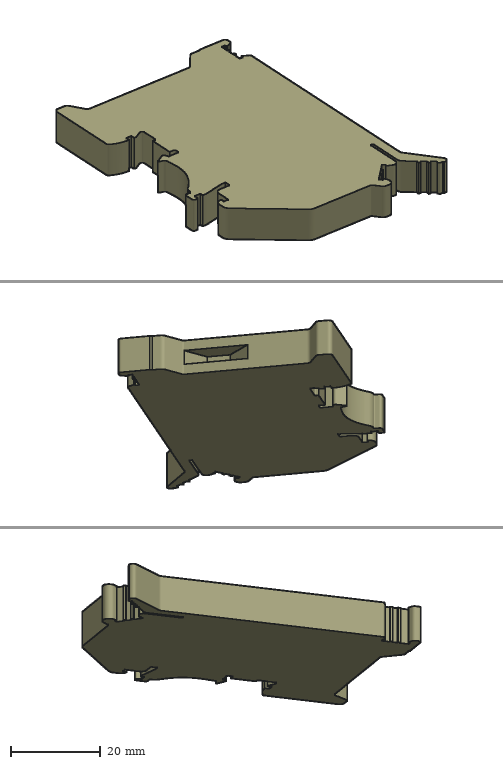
import cadquery as cq
import math


LENGTH = 72.2
HEIGHT = 55.5
THICKNESS = 8.15

TOP_Y = 49.27
LEFT_WALL_X = 4.6
RIGHT_WALL_X = 69.8
SHOULDER_Y = 35.3
LEFT_SLOPE_END_Y = 38.9
LEFT_STEP = 0.22
LEFT_STEP_Y = 41.6
LEFT_TOP_R = 0.85
LEFT_SLOPE_R = 1.3
LEFT_SHOULDER_R = 0.5
RIGHT_SLOPE_END_Y = 37.2
RIGHT_CHAMFER_TOP_Y = 18.4
RIGHT_CHAMFER_R = 2.2
RIGHT_SHOULDER_R = 0.3
RIGHT_SLOPE_R = 1.35

FOOT_LEFT_X = 0.25
FOOT_LEFT_TOP_Y = 3.45
FOOT_WALL_Y = 6.1
FOOT_TOE_X = 19.3
FOOT_RIGHT_X = 20.75
FOOT_FLANK_Y = 2.75
FOOT_CORNER_R = 1.0
FOOT_FLANK_R = 9
FOOT_TOE_R = 0.7
FOOT_SHOULDER_R = 0.9
FOOT_WALL_R = 1.1

RAIL_NOTCH_DEPTH = 1.05
RAIL_NOTCH_BOTTOM_Y = 5.05
RAIL_NOTCH_TOP_Y = 6.5
RAIL_LIP_TOP_Y = 7.1
RAIL_LIP_R = 0.3
RAIL_POCKET_SIDE_Y = 8.9
RAIL_POCKET_R = 0.45
RAIL_POCKET_SIDE_R = 0.5
RAIL_SEAT_R = 0.3
RAIL_POCKET_Y = 9.82
RAIL_SEAT_Y = 8.92
RAIL_SEAT_LEFT_X = 24.35
RAIL_SEAT_RIGHT_X = 30.45
RELIEF_TOP_Y = 10.45
RELIEF_RIGHT_X = 31.85
RELIEF_R = 0.35

BARB_TOP_Y = 7.55
BARB_POINT = (30.5, 6.95)
BARB_TIP = (32.2, 3.9)
BARB_POINT_R = 0.5
BARB_TIP_R = 0.25
ARCH_START = (32.7, 5.95)
ARCH_CREST = (40.8, 6.8)
ARCH_R = 10.5
ARCH_START_R = 0.8
ARCH_END_R = 2
ARCH_END_X = 45.8
SPRING_FOOT_LEFT_X = 47.1
SPRING_FOOT_RIGHT_X = 50.2
SPRING_FOOT_TOP_Y = 1.78
SPRING_FOOT_TOP_R = 0.3
SPRING_FOOT_LEFT_R = 0.6
SPRING_FOOT_RIGHT_R = 0.5
SPRING_NOTCH_R = 0.15
SPRING_NOTCH_X = 48.9
SPRING_NOTCH_BOTTOM_Y = 1.35
SPRING_NOTCH_TOP_Y = 3.0
SPRING_LIP_X = 49.75
SPRING_LIP_TOP_Y = 4.1
SPRING_ROOT_X = 48.6
SPRING_ROOT_Y = 9.2

HOOK_SLOT_X = 50.15
HOOK_ROOF_Y = 6.33
HOOK_ROOT_R = 1.3
HOOK_WALL_X = 54.8
HOOK_TIP_X = 53.85
HOOK_TIP_TOP_Y = 5.05
HOOK_BOTTOM_Y = 3.45
HOOK_HEEL_X = 57.3
HOOK_TIP_R = 1.4
HOOK_HEEL_R = 2.15

GROOVE_LENGTH = 6.4
GROOVE_UNDERCUT = 0.45
GROOVE_LIP_HEIGHT = 0.9
NIB_STARTS = (1.85, 3.75)
NIB_WIDTH = 0.6
NIB_HEIGHT = 0.5
TOP_GROOVE_START = (8.52, 46.43)
SIDE_GROOVE_START = (68.95, 38.1)
TOP_GROOVE_ANGLE = 180
SIDE_GROOVE_ANGLE = 135

TOP_LIP_R = 0.5
TOP_LIP_RIGHT_X = 9.0
TOP_LIP_RIGHT_POINT = (8.07, 47.5)
TOP_LIP_LEFT_X = 2.0
TOP_LIP_LEFT_POINT = (2.62, 47.76)
TOP_LIP_LEFT_R = 0.7
UPPER_LOBE_X = 66.7
UPPER_LOBE_R = 1.05
LOWER_LOBE_X = 70.4
LOWER_LOBE_TOP_Y = 39.75
LOWER_LOBE_LEFT_R = 1
LOWER_LOBE_RIGHT_R = 1.2

SLIT_LEFT_X = 56.15
SLIT_BOTTOM_Y = 45.98
SLIT_TOP_Y = 46.67
SLIT_END_R = 0.35
ARM_SLOPE = 37.3
ARM_ROOT_R = 0.8
ARM_UNDERSIDE_X = 65.55
ARM_UNDERSIDE_SLOPE = 50
ARM_UNDERSIDE_R = 1.5
ARM_NIBS = (4.4, 6.7)
ARM_NIB_WIDTH = 0.9
ARM_NIB_HEIGHT = 0.68
ARM_LIP_START = (71.05, 53.15)
ARM_LIP_INNER = (71.5, 52.94)
ARM_LIP_OUTER = (71.96, 53.3)
ARM_LIP_TOP_Y = 54.1
ARM_LIP_SHOULDER_Y = 54.3
ARM_LIP_R = 0.1
ARM_TIP_R = 0.9

POCKET_WIDTH = 3.3
POCKET_TOP_Y = 35.1
POCKET_FLOOR_TOP_Y = 30.95
POCKET_FLOOR_BOTTOM_Y = 25.7
POCKET_BOTTOM_Y = 20.45


def local_to_plate(origin, degrees, points):
    """Place (along, across, radius) vertices on a line leaving origin at an angle."""
    cos_a = math.cos(math.radians(degrees))
    sin_a = math.sin(math.radians(degrees))
    return [
        (origin[0] + u * cos_a - v * sin_a, origin[1] + u * sin_a + v * cos_a, r)
        for u, v, r in points
    ]


def rounded_outline(vertices):
    """Closed wire through (x, y, radius) vertices with each corner rounded by its radius."""
    corners = []
    count = len(vertices)
    for i, (x, y, radius) in enumerate(vertices):
        here = cq.Vector(x, y)
        if radius == 0:
            corners.append((here, None, here))
            continue
        to_last = (cq.Vector(*vertices[i - 1][:2]) - here).normalized()
        to_next = (cq.Vector(*vertices[(i + 1) % count][:2]) - here).normalized()
        half_angle = to_last.getAngle(to_next) / 2
        setback = radius / math.tan(half_angle)
        bulge = radius / math.sin(half_angle) - radius
        middle = here + (to_last + to_next).normalized() * bulge
        corners.append((here + to_last * setback, middle, here + to_next * setback))

    edges = []
    for i, (start, middle, end) in enumerate(corners):
        edges.append(cq.Edge.makeLine(corners[i - 1][2], start))
        if middle is not None:
            edges.append(cq.Edge.makeThreePointArc(start, middle, end))
    return cq.Wire.assembleEdges(edges)


def left_foot():
    return [
        (LEFT_WALL_X, FOOT_WALL_Y, FOOT_WALL_R),
        (FOOT_LEFT_X, FOOT_LEFT_TOP_Y, FOOT_SHOULDER_R),
        (FOOT_LEFT_X, 0, FOOT_CORNER_R),
        (FOOT_TOE_X, 0, FOOT_TOE_R),
        (FOOT_RIGHT_X, FOOT_FLANK_Y, FOOT_FLANK_R),
    ]


def rail_clamp():
    notch_x = FOOT_RIGHT_X - RAIL_NOTCH_DEPTH
    return [
        (FOOT_RIGHT_X, RAIL_NOTCH_BOTTOM_Y, 0),
        (notch_x, RAIL_NOTCH_BOTTOM_Y, 0),
        (notch_x, RAIL_NOTCH_TOP_Y, 0),
        (FOOT_RIGHT_X, RAIL_NOTCH_TOP_Y, 0),
        (FOOT_RIGHT_X, RAIL_LIP_TOP_Y, RAIL_LIP_R),
        (notch_x, RAIL_POCKET_SIDE_Y, RAIL_POCKET_SIDE_R),
        (notch_x, RAIL_POCKET_Y, RAIL_POCKET_R),
        (RAIL_SEAT_LEFT_X, RAIL_POCKET_Y, RAIL_SEAT_R),
        (RAIL_SEAT_LEFT_X, RAIL_SEAT_Y, 0),
        (RAIL_SEAT_RIGHT_X, RAIL_SEAT_Y, 0),
        (RAIL_SEAT_RIGHT_X, RELIEF_TOP_Y, RELIEF_R),
        (RELIEF_RIGHT_X, RELIEF_TOP_Y, RELIEF_R),
    ]


def arched_beam():
    return [
        (RELIEF_RIGHT_X, BARB_TOP_Y, 0),
        (*BARB_POINT, BARB_POINT_R),
        (*BARB_TIP, BARB_TIP_R),
        (*ARCH_START, ARCH_START_R),
        (*ARCH_CREST, ARCH_R),
        (ARCH_END_X, SPRING_FOOT_TOP_Y, ARCH_END_R),
    ]


def spring_foot():
    return [
        (SPRING_FOOT_LEFT_X, SPRING_FOOT_TOP_Y, SPRING_FOOT_TOP_R),
        (SPRING_FOOT_LEFT_X, 0, SPRING_FOOT_LEFT_R),
        (SPRING_FOOT_RIGHT_X, 0, SPRING_FOOT_RIGHT_R),
        (SPRING_FOOT_RIGHT_X, SPRING_NOTCH_BOTTOM_Y, SPRING_NOTCH_R),
        (SPRING_NOTCH_X, SPRING_NOTCH_BOTTOM_Y, 0),
        (SPRING_NOTCH_X, SPRING_NOTCH_TOP_Y, 0),
        (SPRING_LIP_X, SPRING_NOTCH_TOP_Y, 0),
        (SPRING_LIP_X, SPRING_LIP_TOP_Y, 0),
        (SPRING_ROOT_X, SPRING_ROOT_Y, 0),
        (SPRING_ROOT_X, RELIEF_TOP_Y, 0),
    ]


def right_hook():
    return [
        (HOOK_SLOT_X, RELIEF_TOP_Y, RELIEF_R),
        (HOOK_SLOT_X, HOOK_ROOF_Y, HOOK_ROOT_R),
        (HOOK_WALL_X, HOOK_ROOF_Y, 0),
        (HOOK_WALL_X, HOOK_TIP_TOP_Y, 0),
        (HOOK_TIP_X, HOOK_TIP_TOP_Y, 0),
        (HOOK_TIP_X, HOOK_BOTTOM_Y, HOOK_TIP_R),
        (HOOK_HEEL_X, HOOK_BOTTOM_Y, HOOK_HEEL_R),
    ]


def label_groove(start, degrees):
    """Groove floor running from start, its opening to the right of travel."""
    points = [
        (GROOVE_UNDERCUT, -GROOVE_LIP_HEIGHT, 0),
        (0, -GROOVE_LIP_HEIGHT, 0),
        (0, 0, 0),
    ]
    for nib in NIB_STARTS:
        points += [
            (nib, 0, 0),
            (nib, -NIB_HEIGHT, 0),
            (nib + NIB_WIDTH, -NIB_HEIGHT, 0),
            (nib + NIB_WIDTH, 0, 0),
        ]
    points += [
        (GROOVE_LENGTH, 0, 0),
        (GROOVE_LENGTH, -GROOVE_LIP_HEIGHT, 0),
        (GROOVE_LENGTH - GROOVE_UNDERCUT, -GROOVE_LIP_HEIGHT, 0),
    ]
    return local_to_plate(start, degrees, points)


def right_side():
    return [
        (RIGHT_WALL_X, RIGHT_CHAMFER_TOP_Y, RIGHT_CHAMFER_R),
        (RIGHT_WALL_X, SHOULDER_Y, RIGHT_SHOULDER_R),
        (LENGTH, RIGHT_SLOPE_END_Y, RIGHT_SLOPE_R),
        (LENGTH, LOWER_LOBE_TOP_Y, LOWER_LOBE_RIGHT_R),
        (LOWER_LOBE_X, LOWER_LOBE_TOP_Y, LOWER_LOBE_LEFT_R),
    ]


def label_arm():
    slope = math.radians(ARM_SLOPE)
    tip_corner_y = HEIGHT - ARM_TIP_R + ARM_TIP_R * (1 + math.sin(slope)) / math.cos(slope)
    root_x = LENGTH - (tip_corner_y - TOP_Y) / math.tan(slope)

    underside = [(0, 0, ARM_UNDERSIDE_R)]
    for tip in ARM_NIBS:
        underside += [
            (tip - ARM_NIB_WIDTH / 2, 0, 0),
            (tip, -ARM_NIB_HEIGHT, 0),
            (tip + ARM_NIB_WIDTH / 2, -ARM_NIB_HEIGHT / 2, 0),
            (tip + ARM_NIB_WIDTH / 2, 0, 0),
        ]
    return [
        (UPPER_LOBE_X, SLIT_BOTTOM_Y, UPPER_LOBE_R),
        (SLIT_LEFT_X, SLIT_BOTTOM_Y, 0),
        (SLIT_LEFT_X, SLIT_TOP_Y, SLIT_END_R),
        *local_to_plate((ARM_UNDERSIDE_X, SLIT_TOP_Y), ARM_UNDERSIDE_SLOPE, underside),
        (*ARM_LIP_START, 0),
        (*ARM_LIP_INNER, ARM_LIP_R),
        (*ARM_LIP_OUTER, ARM_LIP_R),
        (ARM_LIP_OUTER[0], ARM_LIP_TOP_Y, 0),
        (LENGTH, ARM_LIP_SHOULDER_Y, 0),
        (LENGTH, tip_corner_y, ARM_TIP_R),
        (root_x, TOP_Y, ARM_ROOT_R),
    ]


def top_label_groove():
    right_lip = [
        (TOP_LIP_RIGHT_X, TOP_Y, TOP_LIP_R),
        (*TOP_LIP_RIGHT_POINT, 0),
    ]
    left_lip = [
        (*TOP_LIP_LEFT_POINT, 0),
        (TOP_LIP_LEFT_X, TOP_Y, TOP_LIP_LEFT_R),
    ]
    return right_lip + label_groove(TOP_GROOVE_START, TOP_GROOVE_ANGLE) + left_lip


def left_side():
    return [
        (0, TOP_Y, LEFT_TOP_R),
        (0, LEFT_STEP_Y + LEFT_STEP, 0),
        (LEFT_STEP, LEFT_STEP_Y - LEFT_STEP, 0),
        (LEFT_STEP, LEFT_SLOPE_END_Y, LEFT_SLOPE_R),
        (LEFT_WALL_X, SHOULDER_Y, LEFT_SHOULDER_R),
    ]


def plate():
    outline = rounded_outline(
        left_foot() + rail_clamp() + arched_beam() + spring_foot() + right_hook()
        + right_side() + label_groove(SIDE_GROOVE_START, SIDE_GROOVE_ANGLE)
        + label_arm() + top_label_groove() + left_side()
    )
    return cq.Workplane(cq.Solid.extrudeLinear(outline, [], cq.Vector(0, 0, THICKNESS)))


def wall_pocket():
    slope = (LEFT_SLOPE_END_Y - SHOULDER_Y) / (LEFT_WALL_X - LEFT_STEP)
    floor_x = LEFT_WALL_X + (POCKET_TOP_Y - POCKET_FLOOR_TOP_Y) / slope
    return (
        cq.Workplane("XY", origin=(0, 0, (THICKNESS - POCKET_WIDTH) / 2))
        .moveTo(LEFT_WALL_X, POCKET_TOP_Y)
        .lineTo(floor_x, POCKET_FLOOR_TOP_Y)
        .lineTo(floor_x, POCKET_FLOOR_BOTTOM_Y)
        .lineTo(LEFT_WALL_X, POCKET_BOTTOM_Y)
        .close()
        .extrude(POCKET_WIDTH)
    )


result = plate().cut(wall_pocket())